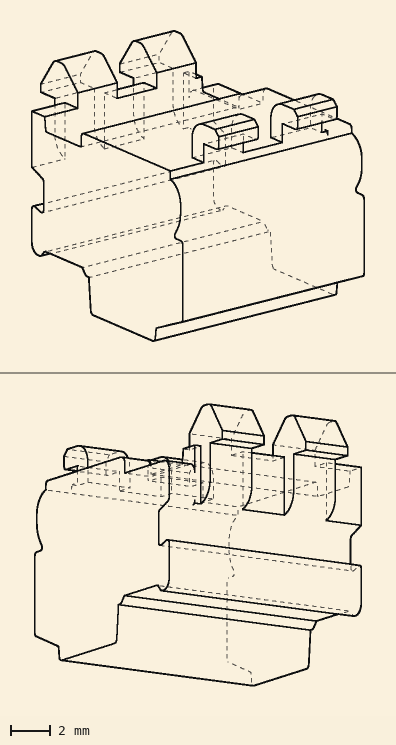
import cadquery as cq
import math

length = 14.7
width = 11.5
height = 11.5

housing_left = 2.0
housing_right = 14.48
housing_top = 9.47
upper_right = 13.45
edge_round = 0.2
fine_round = 0.1

groove_left = 3.16
groove_right = 6.1
groove_floor = 8.69
shoulder_right = 3.07
end_width = 1.53
end_shelf = 8.58
end_shelf_round = 0.51
end_step_round = 0.41

notch_right = 2.98
notch_top = 6.07
notch_bottom = 4.2
slope_top = 6.48
lip_top = 4.54
lip_bottom = 1.93
lip_round = 0.55
lip_right = 2.73
underside = 2.3
underside_left = 3.07
underside_right = 6.15
underside_step = 6.48

base_left = 6.88
base_left_top = 6.7
base_right = 12.17
base_right_top = 12.27
base_right_height = 0.76
base_round = 0.22
right_chamfer_height = 1.7

bulge_right = 14.29
bulge_top = 9.03
bulge_upper_corner = 8.75
bulge_upper_round = 1.16
bulge_lower_corner = 6.92
bulge_lower_round = 1.76
ledge_height = 5.98
ledge_inner = 13.67
ledge_inner_round = 0.15

row_count = 2
row_width = 2.5
row_pitch = 5.0
first_row_start = 2.1
row_starts = [first_row_start + row * row_pitch for row in range(row_count)]

barb_tip_height = 9.91
barb_right_height = 10.29
barb_crest_left = 1.13
barb_crest_right = 1.88
barb_crest_round = 0.44
stem_left = 1.15
stem_round = 1.1

hook_left = 12.5
hook_underside = 10.47
hook_bend_round = 1.0
hook_tip_chamfer = 0.31
hook_tip_round = 0.19


def rounded_profile(corners):
    """Closed XZ profile; each corner is (x, z, radius), with 0 for a sharp corner."""
    profile = None
    for index, (x, z, radius) in enumerate(corners):
        corner = cq.Vector(x, z)
        before = (cq.Vector(*corners[index - 1][:2]) - corner).normalized()
        after = (cq.Vector(*corners[(index + 1) % len(corners)][:2]) - corner).normalized()
        half_angle = before.getAngle(after) / 2
        tangent = radius / math.tan(half_angle)
        start = (corner + before * tangent).toTuple()[:2]
        if profile is None:
            profile = cq.Workplane("XZ").moveTo(*start)
        else:
            profile = profile.lineTo(*start)
        if radius > 0:
            bisector = (before + after).normalized()
            middle = corner + bisector * (radius / math.sin(half_angle) - radius)
            end = corner + after * tangent
            profile = profile.threePointArc(middle.toTuple()[:2], end.toTuple()[:2])
    return profile.close()


def prism(corners, y_start, depth):
    """Extrude a rounded profile toward +Y from y_start."""
    return rounded_profile(corners).extrude(-depth).translate((0, y_start, 0))


def housing_corners(upper_corners, slope_round):
    """Housing outline: common sides and base, closed by the given top corners."""
    return [
        (housing_left, slope_top, slope_round),
        (notch_right, notch_top, edge_round),
        (notch_right, notch_bottom, edge_round),
        (housing_left, lip_top, edge_round),
        (housing_left, lip_bottom, lip_round),
        (lip_right, lip_bottom, edge_round),
        (underside_left, underside, edge_round),
        (underside_right, underside, 0),
        (underside_step, lip_bottom, edge_round),
        (base_left_top, lip_bottom, 0),
        (base_left, 0, base_round),
        (base_right, 0, base_round),
        (base_right_top, base_right_height, fine_round),
        (housing_right, right_chamfer_height, edge_round),
        (housing_right, ledge_height, edge_round),
        (ledge_inner, ledge_height, ledge_inner_round),
        (bulge_right, bulge_lower_corner, bulge_lower_round),
        (bulge_right, bulge_upper_corner, bulge_upper_round),
        (upper_right, bulge_top, 0),
    ] + upper_corners


def housing():
    grooved_top = [
        (upper_right, housing_top, 0),
        (groove_right, housing_top, edge_round),
        (groove_right, groove_floor, fine_round),
        (groove_left, groove_floor, fine_round),
        (shoulder_right, housing_top, 0),
        (housing_left, housing_top, 0),
    ]
    stepped_top = [
        (upper_right, housing_top, edge_round),
        (groove_right, housing_top, end_step_round),
        (groove_right, end_shelf, 0),
        (housing_left, end_shelf, end_shelf_round),
    ]
    main_width = width - end_width
    main = prism(housing_corners(grooved_top, 0), 0, main_width)
    end = prism(housing_corners(stepped_top, edge_round), main_width, end_width)
    return main.union(end)


def latch(y_start):
    """Barbed latch whose stem stands against the left face of the housing."""
    stem_slope = (slope_top - notch_top) / (notch_right - housing_left)
    stem_bottom = slope_top + stem_slope * (housing_left - stem_left)
    corners = [
        (0, housing_top, 0),
        (0, barb_tip_height, 0),
        (barb_crest_left, height, barb_crest_round),
        (barb_crest_right, height, barb_crest_round),
        (shoulder_right, barb_right_height, 0),
        (shoulder_right, housing_top, 0),
        (housing_left, housing_top, 0),
        (housing_left, slope_top, 0),
        (stem_left, stem_bottom, stem_round),
        (stem_left, housing_top, 0),
    ]
    return prism(corners, y_start, row_width)


def hook(y_start):
    """Bent hook standing on the right edge of the housing top."""
    corners = [
        (hook_left, housing_top, 0),
        (hook_left, height, hook_bend_round),
        (length - hook_tip_chamfer, height, 0),
        (length, height - hook_tip_chamfer, 0),
        (length, hook_underside, hook_tip_round),
        (upper_right, hook_underside, 0),
        (upper_right, housing_top, 0),
    ]
    return prism(corners, y_start, row_width)


result = housing()
for row_start in row_starts:
    result = result.union(latch(row_start)).union(hook(row_start))